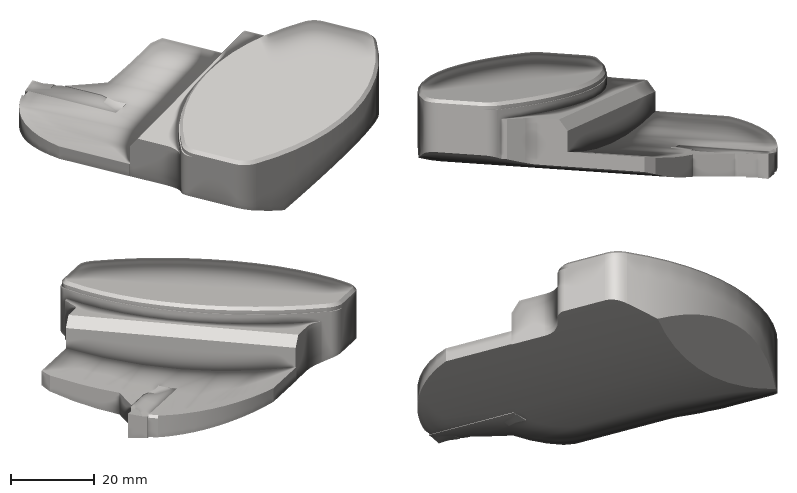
import cadquery as cq
import math

TOP_Z = 20.4
BOTTOM_Z = 0.35
UNDERSIDE_RADIUS = 87.7
BUILD_HEIGHT = 51.6

HEAD_RIGHT_X = 85.95
HEAD_HALF_WIDTH = 19.9
HEAD_CENTER_X = HEAD_RIGHT_X - HEAD_HALF_WIDTH
HEAD_HALF_LENGTH = 35.0
HEAD_SIDE_RADIUS = 57.6
RIM_CORNER_RADIUS = 5.6
NECK_CORNER_RADIUS = 3.4
NECK_LEDGE = 0.3
RIM_CHAMFER = 0.8
BEVEL_START_Z = 10.05

SHOULDER_X = 40.65
SHOULDER_Z = 16.3
SHOULDER_CHAMFER_X = 2.15
SHOULDER_CHAMFER_Z = 2.7
NECK_TOP_Z = 18.65
SIDE_BACK_Y = 28.1
SHOULDER_FRONT_Y = -29.4
BLADE_FRONT_Y = -29.6

BLADE_TOP_Z = 5.85
BLADE_TOP_RADIUS = 145.25
BLADE_TIP_X = 0.8
BLADE_TIP_Y = -7.1
TIP_CHAMFER = 0.5

INSERT_LENGTH = 25.0
INSERT_FRONT_Y = -4.6
INSERT_CORNER_Y = 0.2
INSERT_CREST_Y = 1.6
INSERT_TAPER = 0.35
INSERT_SLOPE_START = 2.8
INSERT_SLOPE_END = 7.3
INSERT_TOP_Z = 5.7
LIP_HEIGHT = 0.4
LIP_DROP = BOTTOM_Z
LIP_START = (0.6, -3.35)
LIP_END = (5.3, -1.1)
LIP_BACK_X = 5.5


def x_cylinder(radius, lowest_z):
    """Long cylinder along X whose lowest line lies on the XZ plane."""
    return (
        cq.Workplane("YZ").center(0, lowest_z + radius).circle(radius)
        .extrude(2 * HEAD_RIGHT_X, both=True)
    )


def head_layer(bottom_z, top_z, ledge, left_corner_radius):
    """Oval layer with flat ends, its -X side standing out by the ledge."""
    drop = HEAD_SIDE_RADIUS - math.sqrt(HEAD_SIDE_RADIUS**2 - HEAD_HALF_LENGTH**2)
    flat_half = HEAD_HALF_WIDTH - drop
    left, right = HEAD_CENTER_X - flat_half - ledge, HEAD_CENTER_X + flat_half
    left_tip = HEAD_CENTER_X - HEAD_HALF_WIDTH - ledge
    return (
        cq.Workplane("XY").workplane(offset=bottom_z).moveTo(left, -HEAD_HALF_LENGTH)
        .lineTo(right, -HEAD_HALF_LENGTH)
        .threePointArc((HEAD_RIGHT_X, 0), (right, HEAD_HALF_LENGTH))
        .lineTo(left, HEAD_HALF_LENGTH)
        .threePointArc((left_tip, 0), (left, -HEAD_HALF_LENGTH))
        .close().extrude(top_z - bottom_z)
        .edges("|Z").edges("<X").fillet(left_corner_radius)
        .edges("|Z").edges(">X").fillet(RIM_CORNER_RADIUS)
    )


def make_head():
    """Neck with a chamfered rim set back slightly along its -X side."""
    neck = head_layer(0, NECK_TOP_Z, NECK_LEDGE, NECK_CORNER_RADIUS)
    rim = head_layer(NECK_TOP_Z, TOP_Z, 0, RIM_CORNER_RADIUS)
    return neck.union(rim.faces(">Z").edges().chamfer(RIM_CHAMFER))


def make_shoulder():
    """Block beside the head, flaring into it at both ends."""
    block = (
        cq.Workplane("XY").moveTo(SHOULDER_X, SHOULDER_FRONT_Y)
        .lineTo(50.3, SHOULDER_FRONT_Y)
        .threePointArc((52.95, -29.9), (55.3, -31.55))
        .lineTo(HEAD_CENTER_X, -31.55)
        .lineTo(HEAD_CENTER_X, 32.6)
        .lineTo(54.5, 32.6)
        .lineTo(51.05, 29.5)
        .threePointArc((50.0, 28.6), (48.65, SIDE_BACK_Y))
        .lineTo(SHOULDER_X, SIDE_BACK_Y)
        .close().extrude(SHOULDER_Z)
    )
    chamfer = (
        cq.Workplane("XZ")
        .polyline([
            (SHOULDER_X, SHOULDER_Z - SHOULDER_CHAMFER_Z),
            (SHOULDER_X, SHOULDER_Z),
            (SHOULDER_X + SHOULDER_CHAMFER_X, SHOULDER_Z),
        ])
        .close().extrude(BUILD_HEIGHT, both=True)
    )
    return block.cut(chamfer)


def make_blade():
    """Thin plate with a rounded front corner and a cut-back rear corner."""
    plate = (
        cq.Workplane("XY").moveTo(SHOULDER_X, BLADE_FRONT_Y)
        .lineTo(21.8, BLADE_FRONT_Y)
        .threePointArc((7.65, -20.1), (BLADE_TIP_X, BLADE_TIP_Y))
        .lineTo(BLADE_TIP_X, INSERT_FRONT_Y)
        .lineTo(8.0, INSERT_CREST_Y)
        .lineTo(16.6, 7.3)
        .lineTo(19.1, 25.5)
        .lineTo(20.8, SIDE_BACK_Y)
        .lineTo(SHOULDER_X, SIDE_BACK_Y)
        .close().extrude(SHOULDER_Z)
    )
    tip_chamfer = (
        cq.Workplane("XZ", origin=(0, INSERT_FRONT_Y, 0))
        .polyline([
            (BLADE_TIP_X, BLADE_TOP_Z - TIP_CHAMFER),
            (BLADE_TIP_X, BLADE_TOP_Z + TIP_CHAMFER),
            (BLADE_TIP_X + 2 * TIP_CHAMFER, BLADE_TOP_Z + TIP_CHAMFER),
        ])
        .close().extrude(INSERT_FRONT_Y - BLADE_TIP_Y)
    )
    return plate.cut(x_cylinder(BLADE_TOP_RADIUS, BLADE_TOP_Z)).cut(tip_chamfer)


def make_bevel():
    """Wedge removed below the +X tip of the head at 45 degrees."""
    return (
        cq.Workplane("XZ")
        .polyline([
            (HEAD_RIGHT_X, BEVEL_START_Z),
            (HEAD_RIGHT_X - BEVEL_START_Z, 0),
            (HEAD_RIGHT_X, 0),
        ])
        .close().extrude(BUILD_HEIGHT, both=True)
    )


def insert_prism(bottom_z, top_z):
    """Plan shape of the insert between two heights."""
    return (
        cq.Workplane("XY").workplane(offset=bottom_z)
        .polyline([
            (INSERT_TAPER, INSERT_FRONT_Y),
            (INSERT_LENGTH - INSERT_TAPER, INSERT_FRONT_Y),
            (INSERT_LENGTH, INSERT_CORNER_Y),
            (INSERT_LENGTH - INSERT_SLOPE_START, INSERT_CORNER_Y),
            (INSERT_LENGTH - INSERT_SLOPE_END, INSERT_CREST_Y),
            (INSERT_SLOPE_END, INSERT_CREST_Y),
            (INSERT_SLOPE_START, INSERT_CORNER_Y),
            (0, INSERT_CORNER_Y),
        ])
        .close().extrude(top_z - bottom_z)
    )


def make_lip(base_z, rise):
    """Corner wedge at the -X end, rising from the diagonal to the cutting corner."""
    along = cq.Vector(LIP_END[0] - LIP_START[0], LIP_END[1] - LIP_START[1], 0).normalized()
    across = cq.Vector(-along.y, along.x, 0)
    to_corner = cq.Vector(-LIP_START[0], INSERT_CORNER_Y - LIP_START[1], 0)
    reach = to_corner.dot(across)
    ramp = (
        cq.Workplane(cq.Plane((*LIP_START, base_z), across, along))
        .polyline([(0, 0), (reach, 0), (reach, rise)])
        .close().extrude(INSERT_LENGTH, both=True)
    )
    limit = (
        cq.Workplane("XY").workplane(offset=base_z - LIP_HEIGHT)
        .polyline([
            (0, LIP_START[1]),
            LIP_START,
            LIP_END,
            (LIP_BACK_X, INSERT_CREST_Y),
            (0, INSERT_CREST_Y),
        ])
        .close().extrude(2 * LIP_HEIGHT)
    )
    outline = insert_prism(base_z - LIP_HEIGHT, base_z + LIP_HEIGHT)
    return ramp.intersect(limit).intersect(outline)


def make_insert():
    """Double-ended insert with raised corners above and below both ends."""
    body = insert_prism(BOTTOM_Z, INSERT_TOP_Z)
    for base_z, rise in ((INSERT_TOP_Z, LIP_HEIGHT), (BOTTOM_Z, -LIP_DROP)):
        lip = make_lip(base_z, rise)
        opposite_lip = lip.mirror("YZ", (INSERT_LENGTH / 2, 0, 0))
        body = body.union(lip).union(opposite_lip)
    return body


def make_holder():
    """Head, shoulder and blade on one curved underside, slotted for the insert."""
    holder = make_head().union(make_shoulder()).union(make_blade())
    holder = holder.cut(make_bevel())
    holder = holder.intersect(x_cylinder(UNDERSIDE_RADIUS, BOTTOM_Z))
    return holder.cut(insert_prism(-BUILD_HEIGHT, BUILD_HEIGHT))


holder = make_holder()
insert = make_insert()
result = cq.Compound.makeCompound([holder.val(), insert.val()])